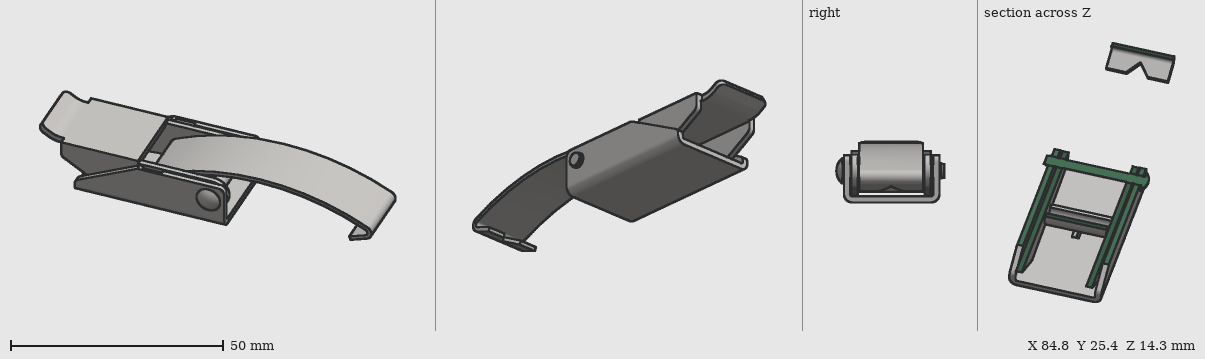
import cadquery as cq
import math


total_length = 84.8
total_height = 14.3
sheet = 1.5
corner_radius = 1.5
band_width = 15.1

pivot_x = 44.9
pivot_z = 7.5
shank_radius = 1.65

base_front = 10.8
base_width = 22.55
base_centre_y = 0.13
base_wall_top = 11.2
base_bend_radius = 2.0
base_slope_foot = 3.3
base_slope_end = 26.7

lever_width = 18.7
lever_front = 6.6
lever_end_radius = 3.9
lever_nose_height = 8.1
lever_nose_slope = 30.0
plate_end = 26.2
plate_top = 12.1
lever_wall_top = pivot_z + lever_end_radius
lip_angle = 30.0
lip_bend_radius = 5.5

heel_clearance = 0.1

base_end = pivot_x + lever_end_radius

strap_thickness = 1.0
strap_radius = 62.7
strap_crown_x = 56.1
strap_crown_z = 14.0
eye_x = 30.2
eye_radius = 2.8
eye_end_angle = 360.0
hook_radius = 1.9
hook_leg_angle = 20.0
hook_leg_length = 4.3
notch_width = 5.25
notch_depth = 3.2

lead_in_width = 4.9
lead_in_depth = 0.8

neck_length = 0.3
head_radius = 3.01
head_height = 1.4
collar_radius = 1.82
collar_length = 0.5
tail_length = 0.6


def polar(centre, radius, degrees):
    """Point at the given radius and angle about a centre."""
    angle = math.radians(degrees)
    return (centre[0] + radius * math.cos(angle), centre[1] + radius * math.sin(angle))


def extrude_across(outline, width, centre_y):
    """Extrude an XZ outline symmetrically about a plane of constant Y."""
    return outline.extrude(width / 2, both=True).translate((0, centre_y, 0))


def pivot_hole(width):
    """Cutter for the rivet hole through a part of the given width."""
    return cq.Workplane("XZ").center(pivot_x, pivot_z).circle(shank_radius).extrude(width, both=True)


def make_base():
    """U-shaped channel with sloping front edges on its walls."""
    length = base_end - base_front
    half_width = base_width / 2
    inner_bend_radius = base_bend_radius - sheet

    block = cq.Workplane("XY").box(length, base_width, base_wall_top, centered=(False, True, False))
    block = block.edges("|X and <Z").fillet(base_bend_radius)
    cavity = (
        cq.Workplane("XY")
        .box(length, base_width - 2 * sheet, base_wall_top, centered=(False, True, False))
        .edges("|X and <Z")
        .fillet(inner_bend_radius)
        .translate((0, 0, sheet))
    )
    channel = block.cut(cavity).translate((base_front, base_centre_y, 0))

    side_outline = (
        cq.Workplane("XZ")
        .moveTo(base_front, 0)
        .lineTo(base_end, 0)
        .lineTo(base_end, base_wall_top)
        .lineTo(base_slope_end, base_wall_top)
        .lineTo(base_front, base_slope_foot)
        .close()
    )
    side_shape = extrude_across(side_outline, base_width, base_centre_y)
    rear_top_corner = cq.selectors.NearestToPointSelector((base_end, base_centre_y, base_wall_top))
    slope_foot_corner = cq.selectors.NearestToPointSelector((base_front, base_centre_y, base_slope_foot))
    side_shape = side_shape.edges(rear_top_corner).fillet(corner_radius)
    side_shape = side_shape.edges(slope_foot_corner).fillet(corner_radius)
    channel = channel.intersect(side_shape)

    lead_in_half_width = half_width - sheet + lead_in_depth
    lead_in = (
        cq.Workplane("YZ")
        .polyline([
            (-lead_in_half_width, base_wall_top),
            (lead_in_half_width, base_wall_top),
            (0, base_wall_top - lead_in_half_width),
        ])
        .close()
        .extrude(lead_in_width / 2, both=True)
        .translate((eye_x, base_centre_y, 0))
    )
    return channel.cut(lead_in).cut(pivot_hole(base_width))


def make_lever_walls():
    """Two side walls with a sloping nose and a round end about the pivot."""
    pivot = (pivot_x, pivot_z)
    heel_z = sheet + heel_clearance
    heel_x = lever_front + (lever_nose_height - heel_z) / math.tan(math.radians(lever_nose_slope))

    heel_to_pivot = math.hypot(pivot_x - heel_x, pivot_z - heel_z)
    lower_edge_angle = math.degrees(
        math.atan2(pivot_z - heel_z, pivot_x - heel_x) - math.asin(lever_end_radius / heel_to_pivot)
    )
    outline = (
        cq.Workplane("XZ")
        .moveTo(lever_front, lever_wall_top)
        .lineTo(lever_front, lever_nose_height)
        .lineTo(heel_x, heel_z)
        .lineTo(*polar(pivot, lever_end_radius, lower_edge_angle - 90))
        .threePointArc(polar(pivot, lever_end_radius, 0), polar(pivot, lever_end_radius, 90))
        .close()
    )
    walls = extrude_across(outline, lever_width, 0)
    nose_corner = cq.selectors.NearestToPointSelector((lever_front, 0, lever_nose_height))
    walls = walls.edges(nose_corner).fillet(corner_radius)
    gap = cq.Workplane("XY").box(2 * total_length, lever_width - 2 * sheet, 2 * total_height)
    return walls.cut(gap).cut(pivot_hole(lever_width))


def make_lip():
    """Upturned finger lip with a flat root that joins the lever plate."""
    slope = math.radians(lip_angle)
    outer_bend_radius = lip_bend_radius + sheet
    bend_rise = lip_bend_radius * (1 - math.cos(slope))
    straight_length = (total_height - plate_top - bend_rise) / math.sin(slope)
    tip_x = sheet * math.sin(slope)
    bend_end = tip_x + straight_length * math.cos(slope) + lip_bend_radius * math.sin(slope)
    bend_centre = (bend_end, plate_top + lip_bend_radius)
    tilted = 270 - lip_angle
    halfway = 270 - lip_angle / 2

    outline = (
        cq.Workplane("XZ")
        .moveTo(tip_x, total_height)
        .lineTo(*polar(bend_centre, lip_bend_radius, tilted))
        .threePointArc(polar(bend_centre, lip_bend_radius, halfway), (bend_end, plate_top))
        .lineTo(lever_front, plate_top)
        .lineTo(lever_front, plate_top - sheet)
        .lineTo(bend_end, plate_top - sheet)
        .threePointArc(
            polar(bend_centre, outer_bend_radius, halfway),
            polar(bend_centre, outer_bend_radius, tilted),
        )
        .lineTo(0, total_height - sheet * math.cos(slope))
        .close()
    )
    lip = extrude_across(outline, band_width, 0)
    return lip.faces("<X").edges("not |Y").fillet(corner_radius)


def make_lever():
    """Side walls, cover plate and finger lip in one sheet."""
    plate = (
        cq.Workplane("XY")
        .box(plate_end - lever_front, lever_width, sheet, centered=(False, True, False))
        .translate((lever_front, 0, plate_top - sheet))
    )
    return make_lever_walls().union(plate).union(make_lip())


def make_strap():
    """Arched strap rolled into an eye at one end and bent into a hook at the other."""
    arch_centre = (strap_crown_x, strap_crown_z - strap_radius)
    arch_inner = strap_radius - strap_thickness
    eye_inner = eye_radius - strap_thickness
    hook_inner = hook_radius - strap_thickness

    eye_angle = math.degrees(math.acos((eye_x - strap_crown_x) / (strap_radius - eye_radius)))
    eye_centre = polar(arch_centre, strap_radius - eye_radius, eye_angle)
    hook_x = total_length - hook_radius
    hook_angle = math.degrees(math.acos((hook_x - strap_crown_x) / (strap_radius - hook_radius)))
    hook_centre = polar(arch_centre, strap_radius - hook_radius, hook_angle)

    eye_middle_angle = (eye_angle + eye_end_angle) / 2
    arch_middle_angle = (eye_angle + hook_angle) / 2
    leg_normal = hook_leg_angle - 90
    leg_direction = hook_leg_angle + 180
    leg_outer_start = polar(hook_centre, hook_radius, leg_normal)
    leg_end = polar(leg_outer_start, hook_leg_length, leg_direction)
    leg_inner_start = polar(hook_centre, hook_inner, leg_normal)

    outline = (
        cq.Workplane("XZ")
        .moveTo(*polar(eye_centre, eye_radius, eye_end_angle))
        .threePointArc(
            polar(eye_centre, eye_radius, eye_middle_angle),
            polar(eye_centre, eye_radius, eye_angle),
        )
        .threePointArc(
            polar(arch_centre, strap_radius, arch_middle_angle),
            polar(arch_centre, strap_radius, hook_angle),
        )
        .threePointArc(polar(hook_centre, hook_radius, 0), leg_outer_start)
        .lineTo(*leg_end)
        .lineTo(*polar(leg_inner_start, hook_leg_length, leg_direction))
        .lineTo(*leg_inner_start)
        .threePointArc(
            polar(hook_centre, hook_inner, 0),
            polar(hook_centre, hook_inner, hook_angle),
        )
        .threePointArc(
            polar(arch_centre, arch_inner, arch_middle_angle),
            polar(arch_centre, arch_inner, eye_angle),
        )
        .threePointArc(
            polar(eye_centre, eye_inner, eye_middle_angle),
            polar(eye_centre, eye_inner, eye_end_angle),
        )
        .close()
    )
    strap = extrude_across(outline, band_width, 0)

    notch = (
        cq.Workplane("XY")
        .polyline([(0, -notch_width / 2), (notch_depth, 0), (0, notch_width / 2)])
        .close()
        .extrude(strap_thickness)
        .rotate((0, 0, 0), (0, 1, 0), -hook_leg_angle)
        .translate((leg_end[0], 0, leg_end[1]))
    )
    return strap.cut(notch)


def make_rivet():
    """Pivot rivet with a domed head on the -Y side and a stepped tail on the +Y side."""
    wall_front = base_centre_y - base_width / 2
    wall_back = base_centre_y + base_width / 2
    head_base = wall_front - neck_length
    head_top = head_base - head_height
    collar_end = wall_back + collar_length
    tail_end = collar_end + tail_length

    dome_radius = (head_radius**2 + head_height**2) / (2 * head_height)
    half_dome_angle = math.asin(head_radius / dome_radius) / 2
    dome_middle = (
        dome_radius * math.sin(half_dome_angle),
        head_top + dome_radius * (1 - math.cos(half_dome_angle)),
    )
    return (
        cq.Workplane("XY")
        .moveTo(0, head_top)
        .threePointArc(dome_middle, (head_radius, head_base))
        .lineTo(shank_radius, head_base)
        .lineTo(shank_radius, wall_back)
        .lineTo(collar_radius, wall_back)
        .lineTo(collar_radius, collar_end)
        .lineTo(shank_radius, collar_end)
        .lineTo(shank_radius, tail_end)
        .lineTo(0, tail_end)
        .close()
        .revolve(360, (0, 0, 0), (0, 1, 0))
        .translate((pivot_x, 0, pivot_z))
    )


base = make_base()
lever = make_lever()
strap = make_strap()
rivet = make_rivet()

result = cq.Compound.makeCompound([base.val(), lever.val(), strap.val(), rivet.val()])